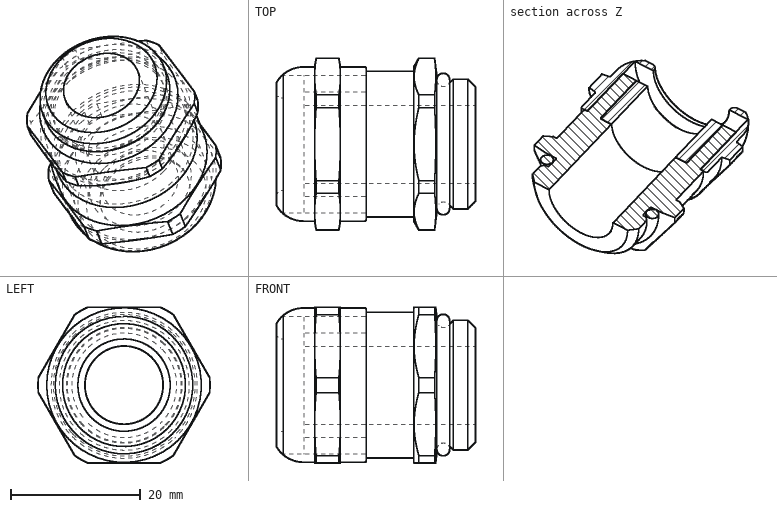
import cadquery as cq
import math


BORE_DIA = 12.0
MOUTH_DIA = 14.2
MOUTH_RIM_DIA = 16.0
SEAL_DIA = 16.1
FACE_DIA = 18.9
SPIGOT_DIA = 21.15
BODY_DIA = 22.5
CAP_DIA = 23.8
THREAD_DIA = 20.0
GROOVE_DIA = 17.8
O_RING_DIA = 21.82

HEX_SIDES = 6
HEX_FLATS = 24.0
HEX_CORNERS = 26.5

DOME_END = 4.2
LAND_LENGTH = 0.2
SEAL_FRONT = 4.2
CAP_HEX_START = 5.9
CAP_HEX_END = 9.88
CAP_END = 13.87
BODY_HEX_START = 21.15
BODY_HEX_END = 24.67
GROOVE_END = 26.7
TOTAL_LENGTH = 30.7

CAP_HEX_BEVEL = 0.25
BODY_HEX_REAR_BEVEL = 0.3
BODY_HEX_FRONT_ANGLE = 30.0
CAP_END_FILLET = 0.3
THREAD_FRONT_CHAMFER = 0.55
THREAD_END_CHAMFER = 1.23


def cylinder(start, end, diameter):
    """Round bar along X from start to end."""
    return cq.Workplane("YZ", origin=(start, 0, 0)).circle(diameter / 2).extrude(end - start)


def revolve_about_x(profile):
    """Turn a closed profile, drawn as X against radius, about the X axis."""
    return profile.close().revolve(360, (0, 0, 0), (1, 0, 0))


def turned_hexagon(start, end, front_dia, front_bevel, rear_dia, rear_bevel):
    """Hexagon with flats at top and bottom, turned to the corner diameter and bevelled at both ends."""
    prism = (
        cq.Workplane("YZ", origin=(start, 0, 0))
        .polygon(HEX_SIDES, HEX_FLATS / math.cos(math.pi / HEX_SIDES))
        .extrude(end - start)
    )
    envelope = revolve_about_x(
        cq.Workplane("XY")
        .moveTo(start, 0)
        .lineTo(start, front_dia / 2)
        .lineTo(start + front_bevel, HEX_CORNERS / 2)
        .lineTo(end - rear_bevel, HEX_CORNERS / 2)
        .lineTo(end, rear_dia / 2)
        .lineTo(end, 0)
    )
    return prism.intersect(envelope)


def make_cap():
    """Domed cap nut with a rounded mouth and a plain cavity."""
    dome_drop = (CAP_DIA - FACE_DIA) / 2
    dome_radius = (DOME_END**2 + dome_drop**2) / (2 * dome_drop)
    mouth_radius = (MOUTH_RIM_DIA - MOUTH_DIA) / 2
    lip_rear = mouth_radius + LAND_LENGTH
    shell = revolve_about_x(
        cq.Workplane("XY")
        .moveTo(0, FACE_DIA / 2)
        .radiusArc((DOME_END, CAP_DIA / 2), dome_radius)
        .lineTo(CAP_END - CAP_END_FILLET, CAP_DIA / 2)
        .radiusArc((CAP_END, CAP_DIA / 2 - CAP_END_FILLET), CAP_END_FILLET)
        .lineTo(CAP_END, SPIGOT_DIA / 2)
        .lineTo(lip_rear, SPIGOT_DIA / 2)
        .lineTo(lip_rear, MOUTH_DIA / 2)
        .lineTo(mouth_radius, MOUTH_DIA / 2)
        .radiusArc((0, MOUTH_RIM_DIA / 2), mouth_radius)
    )
    hexagon = turned_hexagon(
        CAP_HEX_START, CAP_HEX_END, CAP_DIA, CAP_HEX_BEVEL, CAP_DIA, CAP_HEX_BEVEL
    ).cut(cylinder(CAP_HEX_START, CAP_HEX_END, SPIGOT_DIA))
    return shell.union(hexagon)


def make_thread():
    """Plain entry thread, chamfered at both ends."""
    return revolve_about_x(
        cq.Workplane("XY")
        .moveTo(GROOVE_END, 0)
        .lineTo(GROOVE_END, THREAD_DIA / 2 - THREAD_FRONT_CHAMFER)
        .lineTo(GROOVE_END + THREAD_FRONT_CHAMFER, THREAD_DIA / 2)
        .lineTo(TOTAL_LENGTH - THREAD_END_CHAMFER, THREAD_DIA / 2)
        .lineTo(TOTAL_LENGTH, THREAD_DIA / 2 - THREAD_END_CHAMFER)
        .lineTo(TOTAL_LENGTH, 0)
    )


def make_body():
    """Body with spigot, hexagon, O-ring groove and thread, bored right through."""
    front_bevel = (HEX_CORNERS - CAP_DIA) / 2 * math.tan(math.radians(BODY_HEX_FRONT_ANGLE))
    hexagon = turned_hexagon(
        BODY_HEX_START, BODY_HEX_END, CAP_DIA, front_bevel, O_RING_DIA, BODY_HEX_REAR_BEVEL
    )
    return (
        cylinder(SEAL_FRONT, CAP_END, SPIGOT_DIA)
        .union(cylinder(CAP_END, BODY_HEX_START, BODY_DIA))
        .union(hexagon)
        .union(cylinder(BODY_HEX_END, GROOVE_END, GROOVE_DIA))
        .union(make_thread())
        .cut(cylinder(SEAL_FRONT, TOTAL_LENGTH, BORE_DIA))
        .cut(cylinder(SEAL_FRONT, CAP_END, SEAL_DIA))
    )


def make_seal():
    """Sealing insert, a plain sleeve in the front of the body."""
    return cylinder(SEAL_FRONT, CAP_END, SEAL_DIA).cut(cylinder(SEAL_FRONT, CAP_END, BORE_DIA))


def make_o_ring():
    """O-ring seated on the floor of the groove and centred in its width."""
    section_radius = (O_RING_DIA - GROOVE_DIA) / 4
    ring_radius = (O_RING_DIA + GROOVE_DIA) / 4
    ring_centre = (BODY_HEX_END + GROOVE_END) / 2
    return (
        cq.Workplane("XY")
        .center(ring_centre, ring_radius)
        .circle(section_radius)
        .revolve(360, (0, -ring_radius, 0), (1, -ring_radius, 0))
    )


cap = make_cap()
body = make_body()
seal = make_seal()
o_ring = make_o_ring()

result = cq.Compound.makeCompound([cap.val(), body.val(), seal.val(), o_ring.val()])